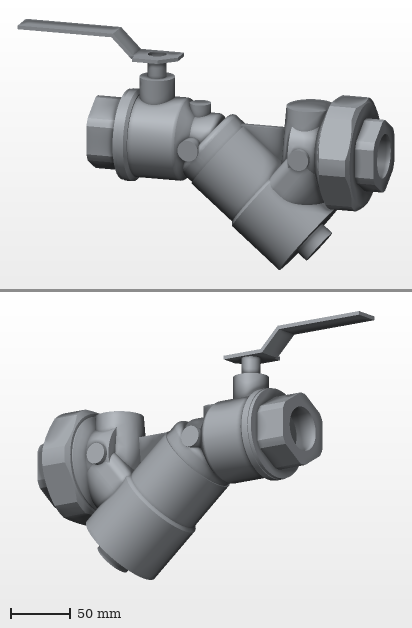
import cadquery as cq
import math


PLATE_THICKNESS = 3.2
GRIP_START_X = -119.7
GRIP_END_X = -40.3
LEVER_TOP_Z = 90.0
LEVER_FOOT_TOP_Z = 72.3
LEVER_HALF_WIDTH = 11.2
LEVER_BEND_X = -35.5
LEVER_BEND_ANGLE = 45
LEVER_END_X = 20.0
TAB_START_X = -16.3
TAB_CORNER_X = 6.5
TAB_Y = -19.0
TAB_CORNER_Y = -6.0

STEM_RADIUS = 8.0
STEM_INSERTION = 9.5
STEM_RECESS = 2.5
GLAND_RADIUS = 15.0
GLAND_TOP_Z = 52.8

HEX_HALF_SECTOR = 30
HEX_APOTHEM = 28.5
HEX_CORNER_RADIUS = 31.0
BORE_RADIUS = 19.0
BORE_DEPTH = 20.0
INLET_X = -53.5
OUTLET_X = 200.3

FLANGE_X = -27.2
RING_RADIUS = 38.5
RING_LENGTH = 3.2
FLANGE_RADIUS = 39.0
FLANGE_END_X = -15.5
FLANGE_CHAMFER = 2.5
BARREL_RADIUS = 35.2
BARREL_END_X = 25.0
NECK_RADIUS = 24.3
NECK_START_X = BARREL_END_X + BARREL_RADIUS - NECK_RADIUS
NECK_END_X = 57.0
NECK_FILLET = 4.8
SHOULDER_FILLET = 3.2

CHAMBER_X = 43.2
CHAMBER_ANGLE = 40
HEAD_START = -0.5
HEAD_RADIUS = 33.3
HEAD_FILLET = 5.5
HEAD_END = 15.5
CHAMBER_RADIUS = 34.5
CHAMBER_END = 62.5
CAP_START = 65.0
CAP_RADIUS = 37.5
CAP_END = 119.5
DRAIN_RADIUS = 16.0
DRAIN_END = 130.5

STRUT_START = 61.8
STRUT_HALF_WIDTH = 30.0
STRUT_FILLET = 9.3
STRUT_ROUND_CENTRE = 80.5
STRUT_LENGTH = 57.5

PORT_START_X = 125.0
PORT_RADIUS = 31.0
FLARE_START_X = 148.5
FLARE_END_X = 154.5
FLARE_RADIUS = 41.3
BOSS_X = 135.7
BOSS_TOP_Z = 38.7
BOSS_BOTTOM_Z = -25.5
BOSS_TOP_RADIUS = 20.5
BOSS_DRAFT = 5
RIB_THICKNESS = 6.5
RIB_TOP_Z = 17.3

PLUG_RADIUS = 9.0
PLUG_REACH = 35.2
TOP_PLUG_REACH = 33.0
INLET_PLUG_X = 38.0

NUT_START_X = 155.5
NUT_END_X = 184.0
NUT_WIDTH = 97.0
NUT_APOTHEM = 45.0
NUT_FACE_RADIUS = 44.0
NUT_CHAMFER_ANGLE = 30
SPIGOT_LENGTH = 12.8

STEM_TOP_Z = LEVER_FOOT_TOP_Z - STEM_RECESS
LEVER_FOOT_Z = LEVER_FOOT_TOP_Z - PLATE_THICKNESS
SPIGOT_END_X = NUT_START_X + SPIGOT_LENGTH


def x_cylinder(start_x, end_x, radius):
    """Cylinder on the pipe axis."""
    return cq.Workplane("YZ", origin=(start_x, 0, 0)).circle(radius).extrude(end_x - start_x)


def x_hexagon(start_x, end_x, apothem, turn):
    """Hexagonal bar on the pipe axis; with no turn two of its corners lie along Y."""
    across_corners = 2 * apothem / math.cos(math.radians(HEX_HALF_SECTOR))
    bar = cq.Workplane("YZ", origin=(start_x, 0, 0)).polygon(6, across_corners).extrude(end_x - start_x)
    return bar.rotate((0, 0, 0), (1, 0, 0), turn)


def z_cylinder(x, bottom_z, top_z, radius):
    return cq.Workplane("XY", origin=(x, 0, bottom_z)).circle(radius).extrude(top_z - bottom_z)


def make_grip():
    return cq.Workplane("XY").box(
        GRIP_END_X - GRIP_START_X, 2 * LEVER_HALF_WIDTH, PLATE_THICKNESS, centered=(False, True, False)
    ).translate((GRIP_START_X, 0, LEVER_TOP_Z - PLATE_THICKNESS))


def make_lever():
    """Bent strap with a sloping joggle and a foot plate that has a side tab."""
    joggle_drop = LEVER_TOP_Z - LEVER_FOOT_TOP_Z
    foot_bend_x = LEVER_BEND_X + joggle_drop / math.tan(math.radians(LEVER_BEND_ANGLE))
    bend_offset = PLATE_THICKNESS * math.tan(math.radians(LEVER_BEND_ANGLE / 2))
    strap = (
        cq.Workplane("XZ", origin=(0, LEVER_HALF_WIDTH, 0))
        .moveTo(GRIP_END_X, LEVER_TOP_Z)
        .lineTo(LEVER_BEND_X, LEVER_TOP_Z)
        .lineTo(foot_bend_x, LEVER_FOOT_TOP_Z)
        .lineTo(TAB_START_X, LEVER_FOOT_TOP_Z)
        .lineTo(TAB_START_X, LEVER_FOOT_Z)
        .lineTo(foot_bend_x - bend_offset, LEVER_FOOT_Z)
        .lineTo(LEVER_BEND_X - bend_offset, LEVER_TOP_Z - PLATE_THICKNESS)
        .lineTo(GRIP_END_X, LEVER_TOP_Z - PLATE_THICKNESS)
        .close()
        .extrude(2 * LEVER_HALF_WIDTH)
    )
    foot = (
        cq.Workplane("XY", origin=(0, 0, LEVER_FOOT_Z))
        .moveTo(TAB_START_X, LEVER_HALF_WIDTH)
        .lineTo(LEVER_END_X, LEVER_HALF_WIDTH)
        .lineTo(LEVER_END_X, TAB_CORNER_Y)
        .lineTo(TAB_CORNER_X, TAB_Y)
        .lineTo(TAB_START_X, TAB_Y)
        .close()
        .extrude(PLATE_THICKNESS)
    )
    stem_hole = z_cylinder(0, LEVER_FOOT_Z, LEVER_FOOT_TOP_Z, STEM_RADIUS)
    return strap.union(foot).cut(stem_hole)


def make_stem():
    return z_cylinder(0, GLAND_TOP_Z - STEM_INSERTION, STEM_TOP_Z, STEM_RADIUS)


def make_pipe_end(open_x, hex_end_x, spigot_end_x):
    """Hexagonal end with a blind bore at its open face and a round spigot behind the hexagon."""
    inward = math.copysign(1, hex_end_x - open_x)
    round_bar = x_cylinder(open_x, hex_end_x, HEX_CORNER_RADIUS)
    hexagon = x_hexagon(open_x, hex_end_x, HEX_APOTHEM, HEX_HALF_SECTOR).intersect(round_bar)
    spigot = x_cylinder(hex_end_x, spigot_end_x, HEX_CORNER_RADIUS)
    bore = x_cylinder(open_x, open_x + inward * BORE_DEPTH, BORE_RADIUS)
    return hexagon.union(spigot).cut(bore)


def make_nut():
    """Hexagonal union nut, chamfered at both faces, with its corners turned round."""
    nut_radius = NUT_WIDTH / 2
    chamfer = (nut_radius - NUT_FACE_RADIUS) * math.tan(math.radians(NUT_CHAMFER_ANGLE))
    turned_blank = (
        cq.Workplane("XY")
        .moveTo(NUT_START_X, 0)
        .lineTo(NUT_START_X, NUT_FACE_RADIUS)
        .lineTo(NUT_START_X + chamfer, nut_radius)
        .lineTo(NUT_END_X - chamfer, nut_radius)
        .lineTo(NUT_END_X, NUT_FACE_RADIUS)
        .lineTo(NUT_END_X, 0)
        .close()
        .revolve(360, (0, 0, 0), (1, 0, 0))
    )
    hexagon = x_hexagon(NUT_START_X, NUT_END_X, NUT_APOTHEM, 0)
    return hexagon.intersect(turned_blank).cut(x_cylinder(NUT_START_X, NUT_END_X, HEX_CORNER_RADIUS))


def make_inlet_barrel():
    """Turned ball-valve end: stepped flange, barrel, conical shoulder and rounded neck."""
    barrel = (
        cq.Workplane("XY")
        .moveTo(FLANGE_X, 0)
        .lineTo(FLANGE_X, RING_RADIUS)
        .lineTo(FLANGE_X + RING_LENGTH, RING_RADIUS)
        .lineTo(FLANGE_X + RING_LENGTH, FLANGE_RADIUS)
        .lineTo(FLANGE_END_X - FLANGE_CHAMFER, FLANGE_RADIUS)
        .lineTo(FLANGE_END_X, FLANGE_RADIUS - FLANGE_CHAMFER)
        .lineTo(FLANGE_END_X, BARREL_RADIUS)
        .lineTo(BARREL_END_X, BARREL_RADIUS)
        .lineTo(NECK_START_X, NECK_RADIUS)
        .lineTo(NECK_END_X, NECK_RADIUS)
        .lineTo(NECK_END_X, 0)
        .close()
        .revolve(360, (0, 0, 0), (1, 0, 0))
    )
    shoulder_edge = cq.selectors.NearestToPointSelector((BARREL_END_X, 0, BARREL_RADIUS))
    return barrel.faces(">X").edges().fillet(NECK_FILLET).edges(shoulder_edge).fillet(SHOULDER_FILLET)


def tilt(shape):
    """Lay a shape built along +X from the origin onto the chamber axis."""
    return shape.rotate((0, 0, 0), (0, 1, 0), CHAMBER_ANGLE).translate((CHAMBER_X, 0, 0))


def make_chamber():
    """Inclined strainer chamber with a rounded head, a wider cap and a drain stub."""
    head = x_cylinder(HEAD_START, HEAD_END, HEAD_RADIUS).faces("<X").edges().fillet(HEAD_FILLET)
    barrel = (
        cq.Workplane("XY")
        .moveTo(HEAD_END, 0)
        .lineTo(HEAD_END, CHAMBER_RADIUS)
        .lineTo(CHAMBER_END, CHAMBER_RADIUS)
        .lineTo(CAP_START, CAP_RADIUS)
        .lineTo(CAP_END, CAP_RADIUS)
        .lineTo(CAP_END, DRAIN_RADIUS)
        .lineTo(DRAIN_END, DRAIN_RADIUS)
        .lineTo(DRAIN_END, 0)
        .close()
        .revolve(360, (0, 0, 0), (1, 0, 0))
    )
    return tilt(head.union(barrel))


def make_strut():
    """D-shaped strut square to the chamber: full round outside, filleted flat face inside."""
    strut = (
        cq.Workplane("XY")
        .moveTo(STRUT_START, -STRUT_HALF_WIDTH)
        .lineTo(STRUT_ROUND_CENTRE, -STRUT_HALF_WIDTH)
        .threePointArc(
            (STRUT_ROUND_CENTRE + STRUT_HALF_WIDTH, 0),
            (STRUT_ROUND_CENTRE, STRUT_HALF_WIDTH),
        )
        .lineTo(STRUT_START, STRUT_HALF_WIDTH)
        .close()
        .extrude(STRUT_LENGTH)
        .edges("|Z and <X")
        .fillet(STRUT_FILLET)
    )
    return tilt(strut)


def make_port():
    """Short outlet pipe that flares out towards the union nut."""
    return (
        cq.Workplane("XY")
        .moveTo(PORT_START_X, 0)
        .lineTo(PORT_START_X, PORT_RADIUS)
        .lineTo(FLARE_START_X, PORT_RADIUS)
        .lineTo(FLARE_END_X, FLARE_RADIUS)
        .lineTo(NUT_START_X, FLARE_RADIUS)
        .lineTo(NUT_START_X, 0)
        .close()
        .revolve(360, (0, 0, 0), (1, 0, 0))
    )


def make_boss():
    """Upright boss over the outlet port, widening downwards with a draft angle."""
    height = BOSS_TOP_Z - BOSS_BOTTOM_Z
    bottom_radius = BOSS_TOP_RADIUS + height * math.tan(math.radians(BOSS_DRAFT))
    return cq.Workplane(
        cq.Solid.makeCone(bottom_radius, BOSS_TOP_RADIUS, height, cq.Vector(BOSS_X, 0, BOSS_BOTTOM_Z))
    )


def make_rib():
    """Flat rib between the chamber and the boss."""
    slope = math.tan(math.radians(CHAMBER_ANGLE))
    top_start_x = CHAMBER_X + CHAMBER_END / 2
    return (
        cq.Workplane("XZ", origin=(0, RIB_THICKNESS / 2, 0))
        .moveTo(top_start_x, RIB_TOP_Z)
        .lineTo(BOSS_X, RIB_TOP_Z)
        .lineTo(BOSS_X, -(BOSS_X - top_start_x) * slope)
        .lineTo(top_start_x, 0)
        .close()
        .extrude(RIB_THICKNESS)
    )


def make_test_plugs():
    """Side plugs through the inlet neck and the outlet port, and one on top of the neck."""
    plugs = z_cylinder(INLET_PLUG_X, 0, TOP_PLUG_REACH, PLUG_RADIUS)
    for plug_x in (INLET_PLUG_X, BOSS_X):
        side_plug = (
            cq.Workplane("XZ", origin=(plug_x, 0, 0)).circle(PLUG_RADIUS).extrude(PLUG_REACH, both=True)
        )
        plugs = plugs.union(side_plug)
    return plugs


def make_housing():
    gland = z_cylinder(0, 0, GLAND_TOP_Z, GLAND_RADIUS)
    nut_side = x_cylinder(FLARE_END_X, OUTLET_X, NUT_WIDTH)
    supports = make_strut().union(make_boss()).cut(nut_side)
    spigot = x_cylinder(NUT_START_X, SPIGOT_END_X, HEX_CORNER_RADIUS)
    housing = make_inlet_barrel().union(make_chamber())
    for feature in (supports, make_port(), spigot, gland, make_rib(), make_test_plugs()):
        housing = housing.union(feature)
    inlet_recess = x_cylinder(FLANGE_X, FLANGE_X + RING_LENGTH, HEX_CORNER_RADIUS)
    return housing.cut(inlet_recess).cut(make_stem())


housing = make_housing()
grip = make_grip()
lever = make_lever()
stem = make_stem()
nut = make_nut()
inlet_end = make_pipe_end(INLET_X, FLANGE_X, FLANGE_X + RING_LENGTH)
tailpiece = make_pipe_end(OUTLET_X, NUT_END_X, SPIGOT_END_X)

bodies = [housing, grip, lever, stem, nut, inlet_end, tailpiece]
result = cq.Compound.makeCompound([body.val() for body in bodies])